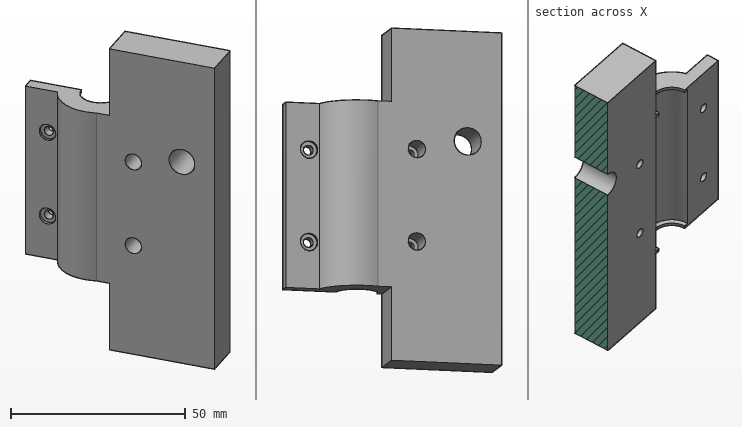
import cadquery as cq
import math

total_width = 61.9
block_height = 97.0
block_thickness = 12.0
clamp_height = 54.1
flange_thickness = 4.0

barrel_x = 21.8
barrel_radius = 12.5
bore_radius = 7.5
lip_radius = 6.0
lip_height = 1.0

screw_columns = (6.9, 36.8)
screw_spacing_z = 27.0
screw_diameter = 2.8
counterbore_diameter = 5.0
counterbore_floor = 3.0

large_hole_diameter = 8.0
large_hole_x = 51.8
large_hole_z = 16.4

block_left = barrel_x + bore_radius


def half_cylinder(radius, height):
    """Half disc in front of the back plane, extruded symmetrically along Z."""
    return (
        cq.Workplane("XY")
        .moveTo(barrel_x - radius, 0)
        .threePointArc((barrel_x, -radius), (barrel_x + radius, 0))
        .close()
        .extrude(height / 2, both=True)
    )


def front_cylinder(x, z, diameter, back_y):
    """Cylinder along Y from back_y out past the front of the part."""
    length = barrel_radius + back_y + 1.0
    start = cq.Vector(x, back_y, z)
    return cq.Workplane(cq.Solid.makeCylinder(diameter / 2, length, start, cq.Vector(0, -1, 0)))


flange_end = barrel_x - math.sqrt(barrel_radius**2 - flange_thickness**2)
barrel_end = barrel_x + math.sqrt(barrel_radius**2 - block_thickness**2)
clamp = (
    cq.Workplane("XY")
    .lineTo(0, -flange_thickness)
    .lineTo(flange_end, -flange_thickness)
    .threePointArc((barrel_x, -barrel_radius), (barrel_end, -block_thickness))
    .lineTo(total_width, -block_thickness)
    .lineTo(total_width, 0)
    .close()
    .extrude(clamp_height / 2, both=True)
)

block = cq.Workplane("XY").box(
    total_width - block_left, block_thickness, block_height, centered=(False, False, True)
).translate((block_left, -block_thickness, 0))

bore = half_cylinder(bore_radius, clamp_height - 2 * lip_height)
lip_opening = half_cylinder(lip_radius, clamp_height)
result = clamp.union(block).cut(bore).cut(lip_opening)

for x in screw_columns:
    for z in (-screw_spacing_z / 2, screw_spacing_z / 2):
        result = result.cut(front_cylinder(x, z, screw_diameter, 0))
        result = result.cut(front_cylinder(x, z, counterbore_diameter, -counterbore_floor))

result = result.cut(front_cylinder(large_hole_x, large_hole_z, large_hole_diameter, 0))